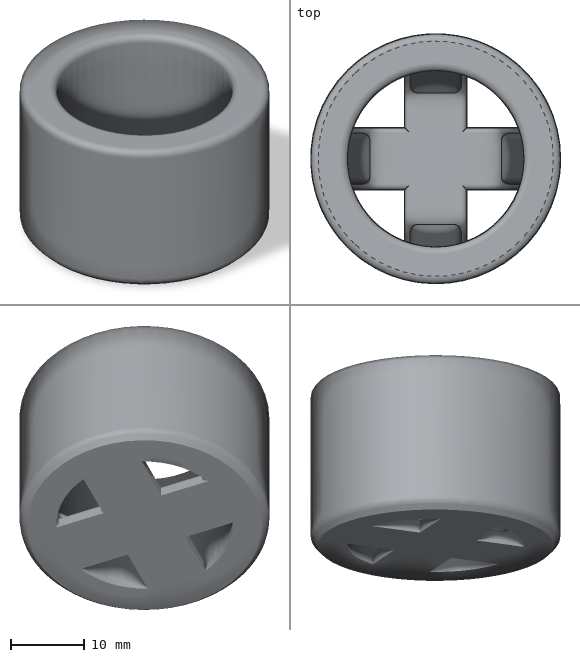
import cadquery as cq
import math

outer_diameter = 34.0
bore_diameter = 24.0
height = 22.0
rim_fillet = 1.0
base_chamfer = 1.0
base_blend = 1.0

bar_width = 8.5
bar_thickness = 2.0
bar_fillet = 0.68

gusset_width = 7.0
gusset_run = 3.03
gusset_angle = 45.0
gusset_fillet = 0.92

outer_radius = outer_diameter / 2
bore_radius = bore_diameter / 2
insert_radius = (outer_radius + bore_radius) / 2


def make_ring():
    """Tube with rounded top rims and a chamfered, blended lower outer edge."""
    body = cq.Workplane("XY").circle(outer_radius).extrude(height)
    body = body.faces("<Z").edges().chamfer(base_chamfer)
    body = body.edges("%CIRCLE").edges(">>Z[1]").fillet(base_blend)
    body = body.cut(cq.Workplane("XY").circle(bore_radius).extrude(height))
    return body.faces(">Z").edges().fillet(rim_fillet)


def make_cross():
    """Crossed bars with rounded upper side edges."""
    length = 2 * outer_radius
    bar = cq.Workplane("XY").rect(length, bar_width).extrude(bar_thickness)
    bar = bar.edges("|X and >Z").fillet(bar_fillet)
    cross = bar.union(bar.rotate((0, 0, 0), (0, 0, 1), 90))
    return cross.intersect(cq.Workplane("XY").circle(insert_radius).extrude(bar_thickness))


def make_gusset():
    """Wedge on the +X side, rounded along both edges of its slope."""
    slope = math.tan(math.radians(gusset_angle))
    toe = bore_radius - gusset_run
    foot = toe - bar_thickness / slope
    top = bar_thickness + slope * (insert_radius - toe)
    wedge = (
        cq.Workplane("XZ")
        .moveTo(foot, 0)
        .lineTo(insert_radius, 0)
        .lineTo(insert_radius, top)
        .close()
        .extrude(gusset_width / 2, both=True)
    )
    wedge = wedge.edges("not(|X or |Y or |Z)").fillet(gusset_fillet)
    return wedge.intersect(cq.Workplane("XY").circle(insert_radius).extrude(height))


result = make_ring().union(make_cross())
gusset = make_gusset()
for quarter in range(4):
    result = result.union(gusset.rotate((0, 0, 0), (0, 0, 1), 90 * quarter))